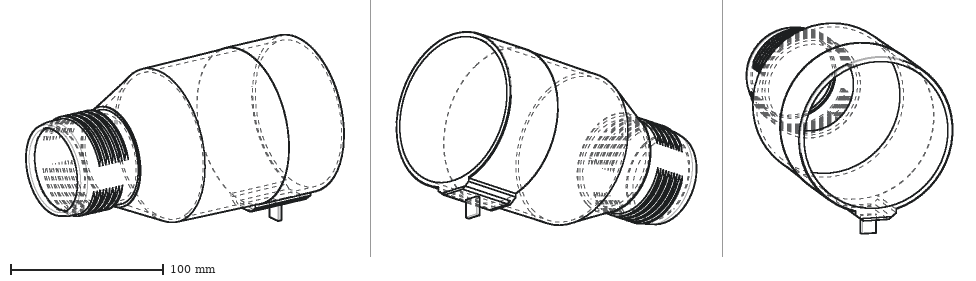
import cadquery as cq

total_length = 197.81
collar_length = 44.45
body_length = 66.8
cone_length = 39.7
shoulder_land = 0.6
neck_taper_length = 6.0
lip_length = 6.0

collar_front_y = total_length - collar_length
cone_back_y = collar_front_y - body_length
shoulder_y = cone_back_y - cone_length

total_height = 122.61

collar_radius = 105.41 / 2
body_back_radius = 104.8 / 2
body_front_radius = 103.2 / 2
shoulder_radius = 67.4 / 2
neck_radius = 63.5 / 2
rim_radius = 61.4 / 2
main_bore_radius = 98.55 / 2
neck_bore_radius = 58.42 / 2
lip_bore_radius = 56.4 / 2
rim_middle_radius = (rim_radius + lip_bore_radius) / 2
rim_round_length = (rim_radius - lip_bore_radius) / 2
rear_edge_radius = 0.5

pad_width = 28.0
pad_flat_width = 17.2
pad_side_z = -53.2
pad_bottom_z = -57.3

thread_pitch = 5.08
thread_turns = 5
thread_start_y = 38.5
thread_crest_radius = 66.5 / 2
thread_base_width = 3.3
thread_crest_width = 1.3
thread_flat_x = 30.6
thread_root_depth = 0.4

plate_length = 42.3
plate_thickness = 1.7
tab_width = 10.5
tab_thickness = 3.1
tab_edge_radius = 0.7
tab_bottom_z = collar_radius - total_height
tab_y = total_length - 18.3


def make_shell():
    """Outside of the housing as one turned solid."""
    return (
        cq.Workplane("XY")
        .moveTo(0, rim_round_length)
        .lineTo(lip_bore_radius, rim_round_length)
        .threePointArc((rim_middle_radius, 0), (rim_radius, rim_round_length))
        .lineTo(neck_radius, neck_taper_length)
        .lineTo(neck_radius, shoulder_y)
        .lineTo(shoulder_radius, shoulder_y)
        .lineTo(shoulder_radius, shoulder_y + shoulder_land)
        .lineTo(body_front_radius, cone_back_y)
        .lineTo(body_back_radius, collar_front_y)
        .lineTo(collar_radius, collar_front_y)
        .lineTo(collar_radius, total_length - rear_edge_radius)
        .radiusArc((collar_radius - rear_edge_radius, total_length), -rear_edge_radius)
        .lineTo(0, total_length)
        .close()
        .revolve(360, (0, 0, 0), (0, 1, 0))
    )


def make_bore():
    """Inside of the housing: lip, neck bore, funnel and main bore."""
    return (
        cq.Workplane("XY")
        .moveTo(0, 0)
        .lineTo(lip_bore_radius, 0)
        .lineTo(lip_bore_radius, lip_length)
        .lineTo(neck_bore_radius, lip_length)
        .lineTo(neck_bore_radius, shoulder_y)
        .lineTo(main_bore_radius, cone_back_y)
        .lineTo(main_bore_radius, total_length)
        .lineTo(0, total_length)
        .close()
        .revolve(360, (0, 0, 0), (0, 1, 0))
    )


def make_pad():
    """Flat-bottomed pad along the underside of the collar."""
    half_width = pad_width / 2
    half_flat = pad_flat_width / 2
    outline = [
        (-half_width, -main_bore_radius),
        (-half_width, pad_side_z),
        (-half_flat, pad_bottom_z),
        (half_flat, pad_bottom_z),
        (half_width, pad_side_z),
        (half_width, -main_bore_radius),
    ]
    return (
        cq.Workplane("XZ", origin=(0, total_length, 0))
        .polyline(outline)
        .close()
        .extrude(collar_length)
    )


def make_plate():
    """Plate that fills the bottom of the pad, flush with its sloped sides and rear end."""
    blank = cq.Workplane("XY").box(
        pad_width, plate_length, plate_thickness, centered=(True, False, False)
    )
    return make_pad().intersect(
        blank.translate((0, total_length - plate_length, pad_bottom_z))
    )


def make_thread():
    """Helical rib, cut off flat on the +X and -X sides."""
    root_radius = neck_radius - thread_root_depth
    helix = cq.Wire.makeHelix(thread_pitch, thread_pitch * thread_turns, root_radius)
    profile = [
        (root_radius, -thread_base_width / 2),
        (thread_crest_radius, -thread_crest_width / 2),
        (thread_crest_radius, thread_crest_width / 2),
        (root_radius, thread_base_width / 2),
    ]
    rib = cq.Workplane("XZ").polyline(profile).close().sweep(helix, isFrenet=True)
    flats_length = 2 * thread_pitch * (thread_turns + 1)
    flats = cq.Workplane("XY").box(2 * thread_flat_x, 3 * thread_crest_radius, flats_length)
    trimmed = rib.intersect(flats)
    return trimmed.rotate((0, 0, 0), (1, 0, 0), 90).translate((0, thread_start_y, 0))


def make_tab():
    """Upright tab below the plate, rounded along its upright edges and around its foot."""
    return (
        cq.Workplane("XY", origin=(0, tab_y, tab_bottom_z))
        .rect(tab_width, tab_thickness)
        .extrude(pad_bottom_z - tab_bottom_z)
        .edges("|Z or <Z")
        .fillet(tab_edge_radius)
    )


def make_housing():
    """Shell with its pad and thread, bored through and recessed for the plate."""
    solid = make_shell().union(make_pad()).union(make_thread())
    return solid.cut(make_bore()).cut(make_plate())


def make_tab_plate():
    """Plate and tab as one body."""
    return make_plate().union(make_tab())


housing = make_housing()
tab_plate = make_tab_plate()

result = cq.Compound.makeCompound([housing.val(), tab_plate.val()])